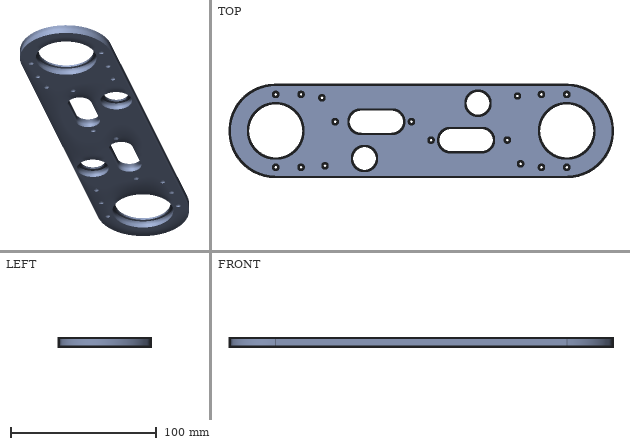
import cadquery as cq

length = 263.5
width = 63.5
thickness = 6.3
end_x = (length - width) / 2

large_diameter = 38.0
large_recess_diameter = 42.0
round_diameter = 17.0
round_recess_diameter = 22.0
recess_depth = 5.0
round_x = 39.0
round_y = 19.0
slot_length = 38.2
slot_width = 16.5
slot_x = 30.8
slot_y = 6.3

screw_diameter = 3.5
screw_row_y = 25.0
screw_pitch = 17.5
slot_screw_center_x = 33.0
slot_screw_spacing = 52.5
outer_screw = (66.1, 24.0)
inner_screw = (68.2, -22.7)


def half_turn_pair(x, y):
    """A point and its copy turned half a turn about the plate center."""
    return [(x, y), (-x, -y)]


def drill(plate, points, diameter, depth=thickness):
    """Cut round holes upward from the bottom face, right through by default."""
    holes = cq.Workplane("XY").pushPoints(points).circle(diameter / 2).extrude(depth)
    return plate.cut(holes)


def stepped_openings(plate, points, diameter, recess_diameter):
    """Cut round through openings with a shallow wider recess on the bottom face."""
    plate = drill(plate, points, diameter)
    return drill(plate, points, recess_diameter, recess_depth)


def cut_slots(plate):
    """Cut the two staggered round-ended slots."""
    points = half_turn_pair(-slot_x, slot_y)
    slots = cq.Workplane("XY").pushPoints(points).slot2D(slot_length, slot_width).extrude(thickness)
    return plate.cut(slots)


def screw_points():
    """Screw holes around the large openings, beside the slots and near the edges."""
    points = half_turn_pair(*outer_screw) + half_turn_pair(*inner_screw)
    for x in (end_x, end_x - screw_pitch):
        for y in (screw_row_y, -screw_row_y):
            points += [(x, y), (-x, y)]
    for side in (-1, 1):
        x = -slot_screw_center_x + side * slot_screw_spacing / 2
        points += half_turn_pair(x, slot_y)
    return points


plate = cq.Workplane("XY").slot2D(length, width).extrude(thickness)
plate = stepped_openings(plate, half_turn_pair(end_x, 0), large_diameter, large_recess_diameter)
plate = stepped_openings(plate, half_turn_pair(round_x, round_y), round_diameter, round_recess_diameter)
plate = cut_slots(plate)
result = drill(plate, screw_points(), screw_diameter)